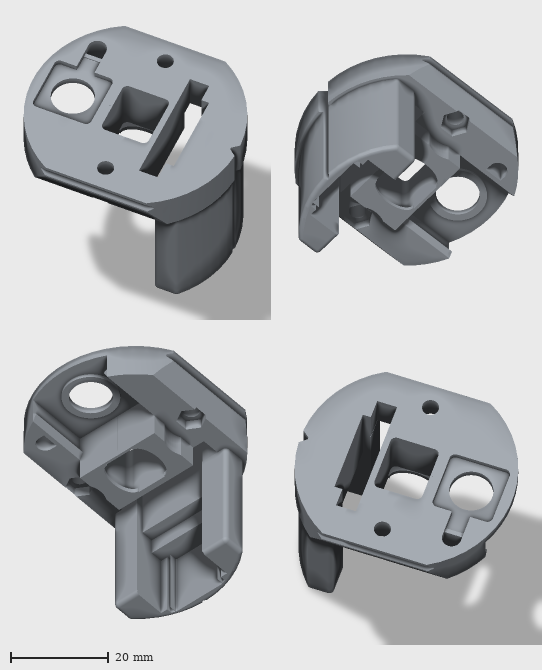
import cadquery as cq
import math

plate_radius = 46.0 / 2
plate_half_width = 40.0 / 2
plate_thickness = 8.2

rail_top_edge = 0.75
rail_lip_top = 2.8
rail_lip_bottom = 3.2
rail_lip_half_width = 19.9
rail_groove_depth = 1.85
rail_groove_radius = 0.5
rail_base_half_width = 17.5

screw_diameter = 3.5
screw_offset = 15.05
nut_across_flats = 5.4
nut_depth = 2.4

notch_tip_x = 21.4
notch_half_width = 1.5
notch_tip_half_width = 0.2

recess_half_width = 20.1 / 2
recess_roof = 1.98
snap_reach = 0.95
snap_top = 5.95
snap_tip = 6.45
snap_bottom = 8.1
snap_radius = 0.28

lens_x = -14.1
lens_hole_diameter = 9.1
lens_ring_diameter = 12.1
lens_ring_bottom = 2.8
seat_length = 13.05
seat_width = 12.9
seat_depth = 1.3
seat_radius = 1.2

cable_width = 4.0
cable_end_y = 14.35
cable_ledge_y = 11.0
cable_ledge_depth = 1.05

block_left = -5.8
block_bottom = 13.3
window_length = 10.45
window_width = 12.25
window_radius = 1.2
window_lip_thickness = 1.0
window_lip_straight = 7.0
window_lip_bow_length = 9.93
window_lip_bow_height = 2.55
slit_width = 0.2
slit_depth = 0.1
relief_radius = 5.65

slot_left = 6.52
slot_middle = 10.85
slot_right = 12.6
slot_half_width = 12.9
slot_step_half_width = 8.9

leg_left = 10.8
leg_radius = 22.2
leg_half_width = 15.3
leg_bottom = 34.85
leg_fillet = 1.0
leg_bottom_fillet = 0.95

hollow_half_width = slot_step_half_width
mouth_half_width = 8.78
mouth_depth = 0.15
hollow_middle_x = 15.55
hollow_back_x = 18.5
hollow_middle_top = 16.05
hollow_lower_top = 19.7
channel_half_width = 7.25
channel_back_x = 20.2
channel_back_radius = 21.1
fin_inner = 6.3
fin_thickness = 0.1


def box(x_min, x_max, y_min, y_max, z_min, z_max):
    return (
        cq.Workplane("XY")
        .box(x_max - x_min, y_max - y_min, z_max - z_min, centered=False)
        .translate((x_min, y_min, z_min))
    )


def cylinder(x, y, radius, z_min, z_max):
    return cq.Workplane("XY", origin=(x, y, z_min)).circle(radius).extrude(z_max - z_min)


def prism(points, z_min, z_max):
    return cq.Workplane("XY", origin=(0, 0, z_min)).polyline(points).close().extrude(z_max - z_min)


def along_x(points, x_min, x_max):
    """Extrude a closed (y, z) outline along X."""
    return cq.Workplane("YZ", origin=(x_min, 0, 0)).polyline(points).close().extrude(x_max - x_min)


def both_sides(solid):
    return solid.union(solid.mirror("XZ"))


def make_plate():
    groove_half_width = plate_half_width - (rail_groove_depth - rail_top_edge)
    side = [
        (plate_half_width, 0),
        (plate_half_width, -rail_top_edge),
        (groove_half_width, -rail_groove_depth),
        (rail_lip_half_width, -rail_lip_top),
        (rail_lip_half_width, -rail_lip_bottom),
        (rail_base_half_width, -plate_thickness),
    ]
    outline = side + [(-y, z) for y, z in reversed(side)]
    bar = along_x(outline, -plate_radius, plate_radius)
    groove_bottom = cq.selectors.NearestToPointSelector
    for y in (-groove_half_width, groove_half_width):
        bar = bar.edges(groove_bottom((0, y, -rail_groove_depth))).fillet(rail_groove_radius)
    return bar.intersect(cylinder(0, 0, plate_radius, -plate_thickness, 0))


def cut_recess(body):
    recess = box(
        -plate_radius, block_left, -recess_half_width, recess_half_width, -plate_thickness, -recess_roof
    )
    recess_left = -math.sqrt(plate_radius**2 - recess_half_width**2)
    tip_y = recess_half_width - snap_reach
    snap = along_x(
        [(recess_half_width, -snap_top), (tip_y, -snap_tip), (recess_half_width, -snap_bottom)],
        recess_left, block_left,
    )
    snap = snap.edges("|X").edges("<Y").fillet(snap_radius)
    return body.cut(recess.cut(both_sides(snap)))


def add_block(body):
    block = box(block_left, slot_left, -recess_half_width, recess_half_width, -block_bottom, -plate_thickness)
    relief = cylinder(0, screw_offset, relief_radius, -block_bottom, -plate_thickness)
    return body.union(block.cut(both_sides(relief)))


def cut_window(body):
    lip_top = window_lip_thickness - block_bottom
    window = (
        cq.Workplane("XY", origin=(0, 0, -block_bottom))
        .rect(window_length, window_width)
        .extrude(block_bottom)
        .edges("|Z")
        .fillet(window_radius)
    )
    half_straight = window_lip_straight / 2
    opening = box(-window_length, window_length, -half_straight, half_straight, -block_bottom, lip_top)
    bow = (
        cq.Workplane("XY", origin=(0, half_straight, -block_bottom))
        .ellipse(window_lip_bow_length / 2, window_lip_bow_height)
        .extrude(window_lip_thickness)
    )
    upper = box(-window_length, window_length, -window_width, window_width, lip_top, 0)
    slit = box(block_left, block_left + slit_depth, -slit_width / 2, slit_width / 2, -block_bottom, 0)
    return body.cut(window.intersect(upper.union(opening).union(both_sides(bow)))).cut(slit)


def add_leg(body):
    leg = box(leg_left, plate_radius, -leg_half_width, leg_half_width, -leg_bottom, -plate_thickness)
    leg = leg.intersect(cylinder(0, 0, leg_radius, -leg_bottom, -plate_thickness))
    leg = leg.edges("|Z").fillet(leg_fillet)
    leg = leg.faces("<Z").edges().fillet(leg_bottom_fillet)
    return body.union(leg)


def cut_leg_hollow(body):
    mouth_back = leg_left + mouth_depth
    mouth = box(leg_left, mouth_back, -mouth_half_width, mouth_half_width, -leg_bottom, -plate_thickness)
    body = body.cut(mouth)
    hollow_steps = [
        (slot_right, plate_thickness),
        (hollow_middle_x, hollow_middle_top),
        (hollow_back_x, hollow_lower_top),
    ]
    for back_x, top in hollow_steps:
        body = body.cut(box(mouth_back, back_x, -hollow_half_width, hollow_half_width, -leg_bottom, -top))
    channel = box(
        hollow_back_x, channel_back_x, -channel_half_width, channel_half_width, -leg_bottom, -hollow_lower_top
    )
    channel = channel.intersect(cylinder(0, 0, channel_back_radius, -leg_bottom, -hollow_lower_top))
    fin = box(
        hollow_back_x, channel_back_x, fin_inner, fin_inner + fin_thickness, -leg_bottom, -hollow_lower_top
    )
    return body.cut(channel.cut(both_sides(fin)))


def cut_plate_slot(body):
    wide = box(slot_left, slot_middle, -slot_half_width, slot_half_width, -plate_thickness, 0)
    step = box(slot_left, slot_right, -slot_step_half_width, slot_step_half_width, -plate_thickness, 0)
    return body.cut(wide).cut(step)


def add_lens_seat(body):
    ring = cylinder(lens_x, 0, lens_ring_diameter / 2, -lens_ring_bottom, -recess_roof)
    hole = cylinder(lens_x, 0, lens_hole_diameter / 2, -lens_ring_bottom, 0)
    seat = (
        cq.Workplane("XY", origin=(lens_x, 0, -seat_depth))
        .rect(seat_length, seat_width)
        .extrude(seat_depth)
        .edges("|Z")
        .fillet(seat_radius)
    )
    return body.union(ring).cut(hole).cut(seat)


def cut_cable_slot(body):
    half = cable_width / 2
    round_y = cable_end_y - half
    left, right = lens_x - half, lens_x + half
    floor = box(left, right, 0, recess_half_width, -seat_depth, 0)
    ledge = box(left, right, recess_half_width, cable_ledge_y, -cable_ledge_depth, 0)
    opening = box(left, right, cable_ledge_y, round_y, -plate_thickness, 0)
    end = cylinder(lens_x, round_y, half, -plate_thickness, 0)
    end = end.intersect(box(left, right, cable_ledge_y, cable_end_y, -plate_thickness, 0))
    return body.cut(floor).cut(ledge).cut(opening).cut(end)


def cut_screws(body):
    nut_corner_diameter = nut_across_flats / math.cos(math.pi / 6)
    for y in (-screw_offset, screw_offset):
        nut = (
            cq.Workplane("XY", origin=(0, y, -plate_thickness))
            .polygon(6, nut_corner_diameter)
            .extrude(nut_depth)
        )
        body = body.cut(cylinder(0, y, screw_diameter / 2, -plate_thickness, 0)).cut(nut)
    return body


def cut_index_notch(body):
    notch = prism(
        [
            (plate_radius, -notch_half_width),
            (notch_tip_x, -notch_tip_half_width),
            (notch_tip_x, notch_tip_half_width),
            (plate_radius, notch_half_width),
        ],
        -leg_bottom, 0,
    )
    return body.cut(notch)


result = make_plate()
result = cut_recess(result)
result = add_block(result)
result = cut_window(result)
result = add_leg(result)
result = cut_leg_hollow(result)
result = cut_plate_slot(result)
result = add_lens_seat(result)
result = cut_cable_slot(result)
result = cut_screws(result)
result = cut_index_notch(result)